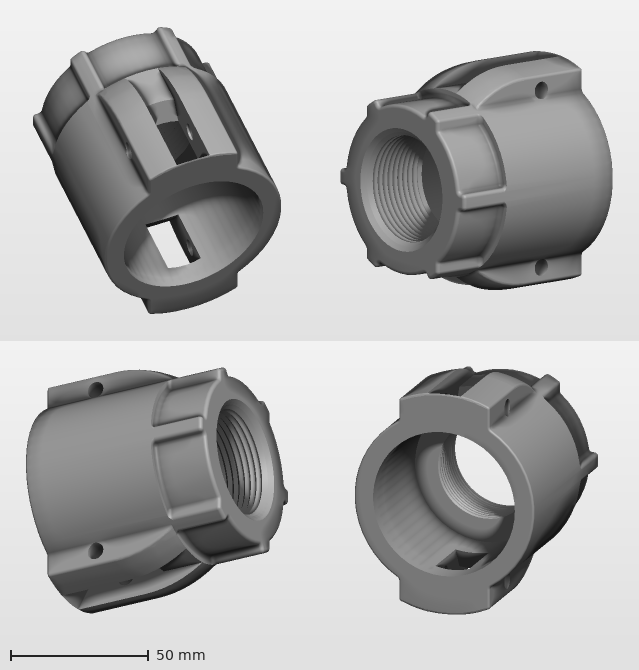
import cadquery as cq
import math

LENGTH = 72.1
BODY_RADIUS = 34.55
REAR_ROUND = 0.8

COLLAR_LENGTH = 20.8
COLLAR_FLOOR_RADIUS = 31.3
GRIP_RIB_COUNT = 6
GRIP_RIB_WIDTH = 6.1
UPRIGHT_FLANK_Y = 19.9
GRIP_ROUND = 1.4
COLLAR_FRONT_ROUND = 1.3

ENTRY_RADIUS = 22.65
ENTRY_DEPTH = 1.7
LEAD_IN_RADIUS = 21.0
THREAD_START = 3.3
THREAD_START_RADIUS = 19.65
THREAD_END_RADIUS = 36.8 / 2
THREAD_PITCH = 2.25
THREAD_COUNT = 10
THREAD_DEPTH = 1.3
SOCKET_START = THREAD_START + THREAD_COUNT * THREAD_PITCH
SOCKET_RADIUS = 54.45 / 2

LUG_TOP_RADIUS = 41.9
LUG_RAMP_END = 44.1
LUG_HALF_WIDTH = 17.4
LUG_EDGE_ROUND = 1.2
LUG_FOOT_ROUND = 1.6
PIN_HOLE_DIAMETER = 6.3
PIN_HOLE_X = 52.2
PIN_HOLE_Z = 32.7

SLOT_WIDTH = 12.8
SLOT_FRONT_X = 36.3
SLOT_REAR_X = 72.0
SLOT_WALL_ANGLE = 30.0
SLOT_DEPTH_RADIUS = 23.3

CLEARANCE = 4.2


def x_cylinder(radius, start, end):
    return cq.Workplane("YZ").workplane(offset=start).circle(radius).extrude(end - start)


def revolve_about_x(profile):
    return profile.close().revolve(360, (0, 0, 0), (1, 0, 0))


def edges_at_x(body, x, max_radius):
    """Edges lying in the plane at x whose midpoints are within max_radius of the axis."""
    def selected(edge):
        box = edge.BoundingBox()
        middle = edge.positionAt(0.5)
        in_plane = abs(box.xmin - x) < 0.001 and abs(box.xmax - x) < 1e-3
        return in_plane and math.hypot(middle.y, middle.z) < max_radius

    return body.newObject([edge for edge in body.edges().vals() if selected(edge)])


def grip_section():
    """Prism with the ribbed outline of the collar."""
    prism = x_cylinder(COLLAR_FLOOR_RADIUS, 0, COLLAR_LENGTH)
    tops = x_cylinder(BODY_RADIUS, 0, COLLAR_LENGTH)
    for i in range(GRIP_RIB_COUNT // 2):
        bar = cq.Workplane("XY").box(
            COLLAR_LENGTH, 3 * BODY_RADIUS, GRIP_RIB_WIDTH, centered=(False, True, True)
        )
        bar = bar.rotate((0, 0, 0), (1, 0, 0), i * 360 / GRIP_RIB_COUNT)
        prism = prism.union(bar.intersect(tops))
    flank_z = UPRIGHT_FLANK_Y * math.tan(math.radians(360 / GRIP_RIB_COUNT))
    for y in (-UPRIGHT_FLANK_Y, UPRIGHT_FLANK_Y):
        filling = (
            cq.Workplane("YZ").polyline([(0, 0), (y, flank_z), (y, -flank_z)]).close().extrude(COLLAR_LENGTH)
        )
        prism = prism.union(filling.intersect(tops))
    return prism.edges("|X").fillet(GRIP_ROUND)


def grip_pockets():
    """Ring of material around the ribbed outline, with the pocket ends rounded."""
    ring = x_cylinder(BODY_RADIUS + CLEARANCE, 0, COLLAR_LENGTH).cut(grip_section())
    return edges_at_x(ring, COLLAR_LENGTH, BODY_RADIUS + CLEARANCE / 2).fillet(GRIP_ROUND)


def collared_body():
    body = x_cylinder(BODY_RADIUS, 0, LENGTH).cut(grip_pockets())
    return body.faces("<X").edges().fillet(COLLAR_FRONT_ROUND)


def lugs():
    """Upper and lower lugs with a curved ramp, without their slots."""
    run = LUG_RAMP_END - COLLAR_LENGTH
    rise = LUG_TOP_RADIUS - BODY_RADIUS
    ramp_radius = (run ** 2 + rise ** 2) / (2 * rise)
    half_angle = math.asin(run / ramp_radius) / 2
    ramp_middle = (
        LUG_RAMP_END - ramp_radius * math.sin(half_angle),
        LUG_TOP_RADIUS - ramp_radius * (1 - math.cos(half_angle)),
    )
    solid = revolve_about_x(
        cq.Workplane("XY")
        .moveTo(COLLAR_LENGTH, 0)
        .lineTo(COLLAR_LENGTH, BODY_RADIUS)
        .threePointArc(ramp_middle, (LUG_RAMP_END, LUG_TOP_RADIUS))
        .lineTo(LENGTH, LUG_TOP_RADIUS)
        .lineTo(LENGTH, 0)
    )
    width_limit = cq.Workplane("XY").box(
        LENGTH, 2 * LUG_HALF_WIDTH, 3 * LUG_TOP_RADIUS, centered=(False, True, True)
    )
    return solid.intersect(width_limit)


def slot_window(depth_radius):
    """Prism of the upper slot, its end walls sloping in towards the axis."""
    top = LUG_TOP_RADIUS + CLEARANCE
    slope = math.tan(math.radians(SLOT_WALL_ANGLE))

    def front_x(z):
        return SLOT_FRONT_X + (BODY_RADIUS - z) * slope

    def rear_x(z):
        return SLOT_REAR_X - (LUG_TOP_RADIUS - z) * slope

    return (
        cq.Workplane("XZ", origin=(0, SLOT_WIDTH / 2, 0))
        .polyline([
            (front_x(depth_radius), depth_radius),
            (rear_x(depth_radius), depth_radius),
            (rear_x(top), top),
            (front_x(top), top),
        ])
        .close()
        .extrude(SLOT_WIDTH)
    )


def ramp_channel():
    """Gap between the ramp walls, down to the body surface."""
    channel = cq.Workplane("XY").box(
        SLOT_FRONT_X - COLLAR_LENGTH + CLEARANCE, SLOT_WIDTH, LUG_TOP_RADIUS + CLEARANCE,
        centered=(False, True, False),
    )
    channel = channel.translate((COLLAR_LENGTH, 0, 0))
    return channel.cut(x_cylinder(BODY_RADIUS, 0, LENGTH))


def threaded_bore():
    """Tapered bore with ring-shaped thread grooves, opening into the socket."""
    taper = (THREAD_START_RADIUS - THREAD_END_RADIUS) / (SOCKET_START - THREAD_START)

    def crest_radius(x):
        return THREAD_START_RADIUS - taper * (x - THREAD_START)

    profile = (
        cq.Workplane("XY")
        .lineTo(0, ENTRY_RADIUS)
        .lineTo(ENTRY_DEPTH, LEAD_IN_RADIUS)
        .lineTo(THREAD_START, THREAD_START_RADIUS)
    )
    for i in range(THREAD_COUNT):
        root_x = THREAD_START + (i + 0.5) * THREAD_PITCH
        crest_x = THREAD_START + (i + 1) * THREAD_PITCH
        profile = profile.lineTo(root_x, crest_radius(root_x) + THREAD_DEPTH)
        profile = profile.lineTo(crest_x, crest_radius(crest_x))
    return revolve_about_x(
        profile
        .lineTo(SOCKET_START, SOCKET_RADIUS)
        .lineTo(LENGTH, SOCKET_RADIUS)
        .lineTo(LENGTH, 0)
    )


def pin_holes():
    return (
        cq.Workplane("XZ", origin=(0, BODY_RADIUS, 0))
        .pushPoints([(PIN_HOLE_X, PIN_HOLE_Z), (PIN_HOLE_X, -PIN_HOLE_Z)])
        .circle(PIN_HOLE_DIAMETER / 2)
        .extrude(2 * BODY_RADIUS)
    )


def lug_side_edges(body, at_foot):
    """Edges along the lug sides, either where they meet the body or along their tops."""
    def selected(edge):
        box = edge.BoundingBox()
        on_side = all(abs(abs(y) - LUG_HALF_WIDTH) < 0.001 for y in (box.ymin, box.ymax))
        middle = edge.positionAt(0.5)
        touches_body = math.hypot(middle.y, middle.z) < BODY_RADIUS + 0.001
        return on_side and box.xlen > CLEARANCE and touches_body == at_foot

    return body.newObject([edge for edge in body.edges().vals() if selected(edge)])


result = collared_body().union(lugs())
result = lug_side_edges(result, at_foot=True).fillet(LUG_FOOT_ROUND)
result = lug_side_edges(result, at_foot=False).fillet(LUG_EDGE_ROUND)
result = result.faces(">X").edges().fillet(REAR_ROUND)
for side in (0, 180):
    for cutter in (slot_window(SLOT_DEPTH_RADIUS), ramp_channel()):
        result = result.cut(cutter.rotate((0, 0, 0), (1, 0, 0), side))
result = result.cut(threaded_bore()).cut(pin_holes())